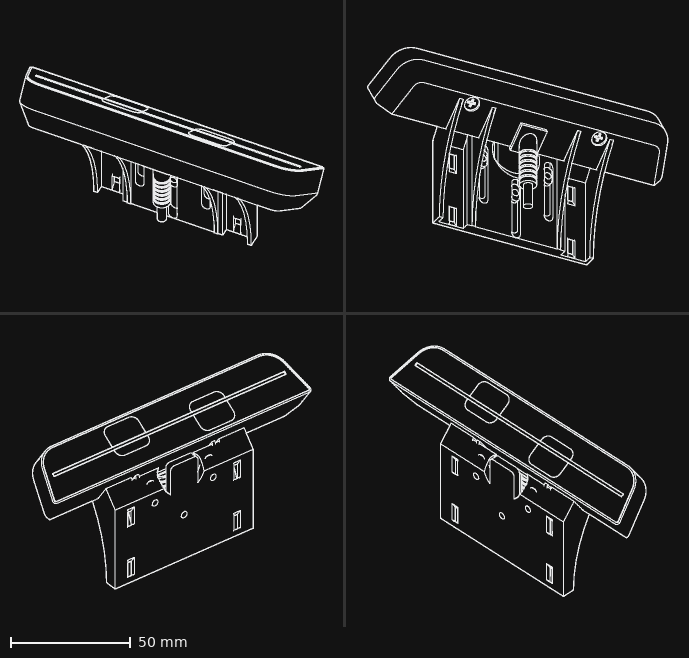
import cadquery as cq
import math

OVERLAP = 1.4

LENGTH = 135.8
HEIGHT = 69.4
DEPTH = 26.2
TILT = 34.0
SIN_TILT = math.sin(math.radians(TILT))
COS_TILT = math.cos(math.radians(TILT))
TAN_TILT = math.tan(math.radians(TILT))
TOP_WIDTH = 23.6
RIM_HEIGHT = 10.9
DRAFT_HEIGHT = 9.1
BODY_HEIGHT = RIM_HEIGHT + DRAFT_HEIGHT
END_ANGLE = 15.0
FRONT_CORNER_RADIUS = 9.9
BACK_CORNER_RADIUS = 1.4

PANEL_INSET = 0.8
PANEL_RAISE = 0.4
GROOVE_LENGTH = 122.2
GROOVE_WIDTH = 1.4
GROOVE_DEPTH = 0.7
BUTTON_X = 20.9
BUTTON_SHIFT = 2.5
BUTTON_LENGTH = 17.7
BUTTON_WIDTH = 14.3
BUTTON_CORNER_RADIUS = 3.3
BUTTON_RAISE = 0.1

SCREW_X = 30.0
SCREW_FROM_BACK = 13.9
SCREW_DIAMETER = 6.5
SCREW_RECESS = 1.1
CROSS_LENGTH = 3.5
CROSS_WIDTH = 0.8
CROSS_DEPTH = 0.8

CABLE_BLOCK_WIDTH = 12.0
CABLE_BLOCK_FRONT = 11.5
CABLE_BLOCK_BACK = -1.0
CABLE_BLOCK_DROP = 1.8
CABLE_FORWARD = 16.3
CABLE_DIAMETER = 4.0
CABLE_END_Z = 9.8
RELIEF_DIAMETER = 7.3
RELIEF_END_Z = 20.1
RING_COUNT = 6
RING_TOP_Z = 35.3
RING_PITCH = 2.5
RING_WIDTH = 0.8
RING_DEPTH = 0.2

BRACKET_WIDTH = 72.8
OUTER_RIB = 1.8
INNER_RIB = 1.6
INNER_RIB_X = 19.3
RIB_FOOT = 6.0
RIB_ARC_RADIUS = 72.7
RIB_TIP_Z = 49.2
WING_THICKNESS = 2.2
WING_BEND_Z = 38.3
CENTER_THICKNESS = 5.7
CENTER_WIDTH = 46.2
TOP_EDGE_Z = 40.2
TOP_EDGE_ANGLE = 50.0
TOP_EDGE_RISE = math.tan(math.radians(TOP_EDGE_ANGLE))
TOP_EDGE_REACH = 8.1
POCKET_DEPTH = 2.5
FLOOR_THICKNESS = CENTER_THICKNESS - POCKET_DEPTH

WINDOW_X = 28.0
WINDOW_WIDTH = 3.4
WINDOW_HEIGHT = 8.5
WINDOW_BOTTOMS = (0.1, 25.8)
SLOT_X = 15.3
SLOT_WIDTH = 4.0
SLOT_LENGTH = 28.2
SIDE_SLOT_BOTTOM_Z = 12.6
CENTER_SLOT_BOTTOM_Z = 0.1
SLOT_PLACES = ((-SLOT_X, SIDE_SLOT_BOTTOM_Z), (0, CENTER_SLOT_BOTTOM_Z), (SLOT_X, SIDE_SLOT_BOTTOM_Z))
SEAT_HEIGHT = 8.0
SEAT_DEPTH = 0.7
SEAT_ABOVE_BOTTOM = 22.3
SCREW_HOLE_DIAMETER = 3.0
ROUND_POCKET_RADIUS = 11.1
ROUND_POCKET_Z = 40.5
TONGUE_WIDTH = 14.4
TONGUE_TOP_Z = 49.5
TONGUE_CORNER_RADIUS = 2.0


RIM_TOP_FORWARD = DEPTH - TOP_WIDTH * COS_TILT - RIM_HEIGHT * SIN_TILT
RIM_TOP_Z = HEIGHT - TOP_WIDTH * SIN_TILT


def housing_plane(height):
    """Plane parallel to the housing's top face, at a height above the rim's upper edge."""
    return cq.Plane(
        origin=(0, -RIM_TOP_FORWARD + height * SIN_TILT, RIM_TOP_Z + height * COS_TILT),
        xDir=(1, 0, 0),
        normal=(0, SIN_TILT, COS_TILT),
    )


def end_half_length(from_back):
    """Half length of the sharp-cornered outline at a distance from the back edge."""
    slope = math.radians(END_ANGLE)
    lost = BACK_CORNER_RADIUS * (1 / math.cos(slope) + math.tan(slope) - 1)
    return LENGTH / 2 + lost - from_back * math.tan(slope)


def rounded_prism(depth):
    """Trapezoid outline with all four upright corners rounded, extruded downward."""
    back_half = end_half_length(0)
    front_half = end_half_length(TOP_WIDTH)
    prism = cq.Workplane(housing_plane(0)).polyline([
        (-back_half, 0),
        (back_half, 0),
        (front_half, -TOP_WIDTH),
        (-front_half, -TOP_WIDTH),
    ]).close().extrude(-depth)
    upright = cq.selectors.ParallelDirSelector(cq.Vector(0, SIN_TILT, COS_TILT))
    corners = sorted(prism.edges(upright).vals(), key=lambda edge: edge.Center().y)
    prism = prism.newObject(corners[:2]).fillet(FRONT_CORNER_RADIUS)
    corners = sorted(prism.edges(upright).vals(), key=lambda edge: edge.Center().y)
    return prism.newObject(corners[-2:]).fillet(BACK_CORNER_RADIUS)


def drafted_lower_part():
    """Lower part whose front and ends lean inward while the back stays upright."""
    behind = 2 * DRAFT_HEIGHT
    corner = FRONT_CORNER_RADIUS
    slope = math.radians(END_ANGLE)
    turn = (math.pi / 2 - slope) / 2
    tangent = corner * math.tan(turn)
    back_half = end_half_length(-behind)
    front_half = end_half_length(TOP_WIDTH)
    flat_half = front_half - tangent
    side = (front_half + tangent * math.sin(slope), -TOP_WIDTH + tangent * math.cos(slope))
    middle = (flat_half + corner * math.sin(turn), -TOP_WIDTH + corner * (1 - math.cos(turn)))
    lower = (
        cq.Workplane(housing_plane(-RIM_HEIGHT))
        .moveTo(-back_half, behind)
        .lineTo(back_half, behind)
        .lineTo(*side)
        .threePointArc(middle, (flat_half, -TOP_WIDTH))
        .lineTo(-flat_half, -TOP_WIDTH)
        .threePointArc((-middle[0], middle[1]), (-side[0], side[1]))
        .close()
        .extrude(-DRAFT_HEIGHT, taper=TILT)
    )
    return lower.intersect(rounded_prism(BODY_HEIGHT))


def add_cover_panel(body):
    """Thin raised panel on the top face with two button pads and a long groove."""
    panel = (
        rounded_prism(PANEL_RAISE)
        .faces(cq.selectors.DirectionMinMaxSelector(cq.Vector(0, SIN_TILT, COS_TILT), True))
        .wires().toPending()
        .workplane().offset2D(-PANEL_INSET)
        .extrude(PANEL_RAISE, combine=False)
    )
    buttons = (
        cq.Workplane(housing_plane(PANEL_RAISE))
        .pushPoints([
            (-BUTTON_X, -TOP_WIDTH / 2 + BUTTON_SHIFT),
            (BUTTON_X, -TOP_WIDTH / 2 - BUTTON_SHIFT),
        ])
        .sketch().rect(BUTTON_LENGTH, BUTTON_WIDTH).vertices().fillet(BUTTON_CORNER_RADIUS).finalize()
        .extrude(BUTTON_RAISE)
    )
    groove = (
        cq.Workplane(housing_plane(PANEL_RAISE - GROOVE_DEPTH))
        .center(0, -TOP_WIDTH / 2)
        .rect(GROOVE_LENGTH, GROOVE_WIDTH)
        .extrude(OVERLAP)
    )
    return body.union(panel).union(buttons).cut(groove)


def cut_screw_recesses(body):
    """Two round screw recesses in the underside, each with a cross in its floor."""
    places = [(-SCREW_X, -SCREW_FROM_BACK), (SCREW_X, -SCREW_FROM_BACK)]
    underside = cq.Workplane(housing_plane(-BODY_HEIGHT)).pushPoints(places)
    cross_depth = SCREW_RECESS + CROSS_DEPTH
    body = body.cut(underside.circle(SCREW_DIAMETER / 2).extrude(SCREW_RECESS))
    for size in ((CROSS_LENGTH, CROSS_WIDTH), (CROSS_WIDTH, CROSS_LENGTH)):
        body = body.cut(underside.rect(*size).extrude(cross_depth))
    return body


def cylinder(diameter, bottom, top):
    """Upright round bar on the cable's axis."""
    return (
        cq.Workplane("XY", origin=(0, -CABLE_FORWARD, bottom))
        .circle(diameter / 2)
        .extrude(top - bottom)
    )


def make_cable():
    """Cable, ringed strain relief and the block that carries them under the housing."""
    block = (
        cq.Workplane(housing_plane(-BODY_HEIGHT - CABLE_BLOCK_DROP))
        .center(0, -(CABLE_BLOCK_FRONT + CABLE_BLOCK_BACK) / 2)
        .rect(CABLE_BLOCK_WIDTH, CABLE_BLOCK_FRONT - CABLE_BLOCK_BACK)
        .extrude(CABLE_BLOCK_DROP)
    )
    back_edge_forward = RIM_TOP_FORWARD + BODY_HEIGHT * SIN_TILT
    back_edge_z = RIM_TOP_Z - BODY_HEIGHT * COS_TILT
    underside_z = back_edge_z + (CABLE_FORWARD - back_edge_forward) * TAN_TILT
    relief_top = underside_z + RELIEF_DIAMETER / 2 * TAN_TILT
    relief = cylinder(RELIEF_DIAMETER, RELIEF_END_Z, relief_top)
    for index in range(RING_COUNT):
        top = RING_TOP_Z - index * RING_PITCH
        ring = cylinder(RELIEF_DIAMETER + OVERLAP, top - RING_WIDTH, top)
        relief = relief.cut(ring.cut(cylinder(RELIEF_DIAMETER - 2 * RING_DEPTH, top - RING_WIDTH, top)))
    cable = cylinder(CABLE_DIAMETER, CABLE_END_Z, RELIEF_END_Z + OVERLAP)
    return block.union(relief).union(cable)


def make_housing():
    body = rounded_prism(RIM_HEIGHT).union(drafted_lower_part())
    body = add_cover_panel(body)
    body = cut_screw_recesses(body)
    return body.union(make_cable())


def top_edge_z(forward):
    """Height of the bracket's sloped top edge at a distance forward of the wall."""
    return TOP_EDGE_Z + TOP_EDGE_RISE * forward


def side_profile(start_x):
    """Sketch plane across X: local x is +Y, local y is +Z, extruding toward +X."""
    return cq.Workplane("YZ", origin=(start_x, 0, 0))


def arc_forward(z):
    """Forward reach of the ribs' concave front edge at a height."""
    return RIB_FOOT + RIB_ARC_RADIUS - math.sqrt(RIB_ARC_RADIUS ** 2 - z ** 2)


def rib(start_x, thickness):
    """Rib with a concave arc in front; its upper end runs into the housing's space."""
    return (
        side_profile(start_x)
        .lineTo(-RIB_FOOT, 0)
        .threePointArc((-arc_forward(RIB_TIP_Z / 2), RIB_TIP_Z / 2), (-arc_forward(RIB_TIP_Z), RIB_TIP_Z))
        .lineTo(-TOP_EDGE_REACH, top_edge_z(TOP_EDGE_REACH))
        .lineTo(0, TOP_EDGE_Z)
        .close()
        .extrude(thickness)
    )


def wing(start_x, width):
    """Thin wall plate that bends forward at the top to reach the housing's back face."""
    bend_rise = TOP_EDGE_RISE * (TOP_EDGE_REACH - WING_THICKNESS)
    return (
        side_profile(start_x)
        .polyline([
            (0, 0),
            (-WING_THICKNESS, 0),
            (-WING_THICKNESS, WING_BEND_Z),
            (-TOP_EDGE_REACH, WING_BEND_Z + bend_rise),
            (-TOP_EDGE_REACH, top_edge_z(TOP_EDGE_REACH)),
            (0, TOP_EDGE_Z),
        ])
        .close()
        .extrude(width)
    )


def center_block():
    """Thick middle of the wall plate."""
    return (
        side_profile(-CENTER_WIDTH / 2)
        .polyline([
            (0, 0),
            (-CENTER_THICKNESS, 0),
            (-CENTER_THICKNESS, top_edge_z(CENTER_THICKNESS)),
            (0, TOP_EDGE_Z),
        ])
        .close()
        .extrude(CENTER_WIDTH)
    )


def front_sketch(forward):
    """Sketch plane facing forward: local x is +X, local y is +Z."""
    return cq.Workplane("XZ", origin=(0, -forward, 0))


def slanted_cut(sketch, depth):
    """Cutter from a forward-facing sketch, running back and up square to the housing's slope."""
    direction = cq.Vector(0, depth, depth / TAN_TILT)
    cutter = cq.Workplane()
    for wire in sketch.vals():
        cutter = cutter.add(cq.Solid.extrudeLinear(wire, [], direction))
    return cutter


def cut_wing_window(bracket, x):
    for bottom in WINDOW_BOTTOMS:
        frame = front_sketch(WING_THICKNESS).center(x, bottom + WINDOW_HEIGHT / 2)
        window = frame.rect(WINDOW_WIDTH, WINDOW_HEIGHT)
        bracket = bracket.cut(slanted_cut(window, WING_THICKNESS))
    return bracket


def cut_screw_slot(bracket, x, bottom):
    """Long slanted slot with a raised seat and a through hole near its upper end."""
    face = front_sketch(CENTER_THICKNESS).center(x, bottom + SLOT_LENGTH / 2)
    slot = face.slot2D(SLOT_LENGTH, SLOT_WIDTH, 90)
    seat_z = bottom + SEAT_ABOVE_BOTTOM
    seat_base = front_sketch(FLOOR_THICKNESS - OVERLAP).center(x, seat_z)
    seat = seat_base.slot2D(SEAT_HEIGHT, SLOT_WIDTH, 90).extrude(POCKET_DEPTH + OVERLAP - SEAT_DEPTH)
    hole = front_sketch(0).center(x, seat_z).circle(SCREW_HOLE_DIAMETER / 2).extrude(CENTER_THICKNESS)
    return bracket.cut(slanted_cut(slot, POCKET_DEPTH)).union(seat).cut(hole)


def cut_round_pocket(bracket):
    """Slanted round pocket, open through the plate on either side of the tongue."""
    circle = front_sketch(CENTER_THICKNESS).center(0, ROUND_POCKET_Z).circle(ROUND_POCKET_RADIUS)
    floor_z = ROUND_POCKET_Z + POCKET_DEPTH / TAN_TILT
    opening = front_sketch(0).center(0, floor_z).circle(ROUND_POCKET_RADIUS).extrude(FLOOR_THICKNESS)
    tongue_bottom = floor_z - ROUND_POCKET_RADIUS - OVERLAP
    tongue = (
        front_sketch(0)
        .center(0, (tongue_bottom + TONGUE_TOP_Z) / 2)
        .rect(TONGUE_WIDTH, TONGUE_TOP_Z - tongue_bottom)
        .extrude(FLOOR_THICKNESS)
        .edges("|Y and >Z").fillet(TONGUE_CORNER_RADIUS)
    )
    return bracket.cut(slanted_cut(circle, POCKET_DEPTH)).cut(opening).union(tongue)


def make_bracket(housing):
    """Wall plate with four ribs; its upper edges are trimmed to sit against the housing."""
    half = BRACKET_WIDTH / 2
    wing_width = half - CENTER_WIDTH / 2
    bracket = center_block()
    for start_x in (-half, half - wing_width):
        bracket = bracket.union(wing(start_x, wing_width))
    for start_x in (-half, half - OUTER_RIB):
        bracket = bracket.union(rib(start_x, OUTER_RIB))
    for start_x in (-INNER_RIB_X - INNER_RIB, INNER_RIB_X):
        bracket = bracket.union(rib(start_x, INNER_RIB))
    for side in (-1, 1):
        bracket = cut_wing_window(bracket, side * WINDOW_X)
    bracket = cut_round_pocket(bracket)
    for x, bottom in SLOT_PLACES:
        bracket = cut_screw_slot(bracket, x, bottom)
    return bracket.cut(housing)


housing = make_housing()
bracket = make_bracket(housing)
result = cq.Compound.makeCompound([*housing.vals(), *bracket.vals()])